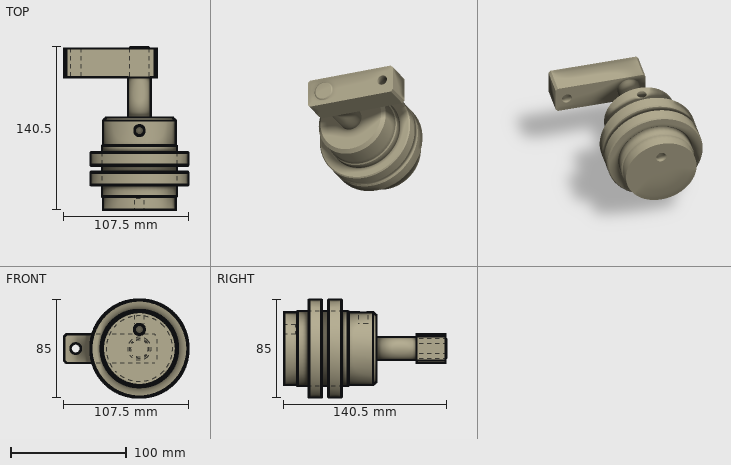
import cadquery as cq

housing_length = 80.0
plain_diameter = 63.0
thread_diameter = 65.0
thread_start = 11.0
thread_end = 56.0
thread_chamfer = (thread_diameter - plain_diameter) / 2
back_chamfer = 3.0

port_diameter = 8.2
port_mouth_diameter = 9.3
port_depth = 10.0
port_chamfer = (port_mouth_diameter - port_diameter) / 2
front_port_height = 16.5
side_port_position = 68.5

nut_diameter = 85.0
nut_thickness = 12.0
nut_chamfer = 1.0
nut_bore_chamfer = 1.0
nut_positions = (21.0, 38.0)

rod_diameter = 20.0
rod_length = 34.5
arm_width = 25.0
arm_length = 80.0
arm_overhang = 15.0
arm_edge_chamfer = 2.0
arm_hole_diameter = 8.8
arm_hole_reach = 55.0
stud_diameter = 17.0
stud_protrusion = 1.0
stud_chamfer = stud_protrusion

arm_start = housing_length + rod_length


def along_y(start):
    """Workplane at Y = start, facing +Y, centred on the cylinder axis."""
    return cq.Workplane("XZ", origin=(0, start, 0)).transformed(rotate=(180, 0, 0))


def disc(diameter, start, length):
    return along_y(start).circle(diameter / 2).extrude(length)


def make_port():
    """Blind port cutter pointing down from the origin, with a chamfered mouth."""
    port = cq.Workplane("XY").circle(port_diameter / 2).extrude(-port_depth)
    mouth = (
        cq.Workplane("XY")
        .circle(port_mouth_diameter / 2)
        .extrude(-port_chamfer, taper=45)
    )
    return port.union(mouth)


def make_housing():
    body = disc(plain_diameter, 0, housing_length).faces(">Y").chamfer(back_chamfer)
    thread = disc(thread_diameter, thread_start, thread_end - thread_start)
    thread = thread.edges().chamfer(thread_chamfer)
    front_port = make_port().rotate((0, 0, 0), (1, 0, 0), 90)
    front_port = front_port.translate((0, 0, front_port_height))
    side_port = make_port().translate((0, side_port_position, plain_diameter / 2))
    return body.union(thread).cut(front_port).cut(side_port)


def make_nut(start):
    nut = disc(nut_diameter, start, nut_thickness).edges().chamfer(nut_chamfer)
    nut = nut.cut(disc(thread_diameter, start, nut_thickness))
    return nut.edges(cq.selectors.RadiusNthSelector(0)).chamfer(nut_bore_chamfer)


def make_arm():
    arm = (
        cq.Workplane("XY")
        .box(arm_length, arm_width, arm_width)
        .edges("|Y")
        .chamfer(arm_edge_chamfer)
        .translate((arm_overhang - arm_length / 2, arm_start + arm_width / 2, 0))
    )
    hole = disc(arm_hole_diameter, arm_start, arm_width).translate((-arm_hole_reach, 0, 0))
    return arm.cut(hole).cut(disc(stud_diameter, arm_start, arm_width))


housing = make_housing()
nuts = [make_nut(start) for start in nut_positions]
rod = disc(rod_diameter, housing_length, rod_length)
arm = make_arm()
stud = disc(stud_diameter, arm_start, arm_width + stud_protrusion).faces(">Y").chamfer(stud_chamfer)

result = cq.Compound.makeCompound(
    [housing.val(), *[nut.val() for nut in nuts], rod.val(), arm.val(), stud.val()]
)